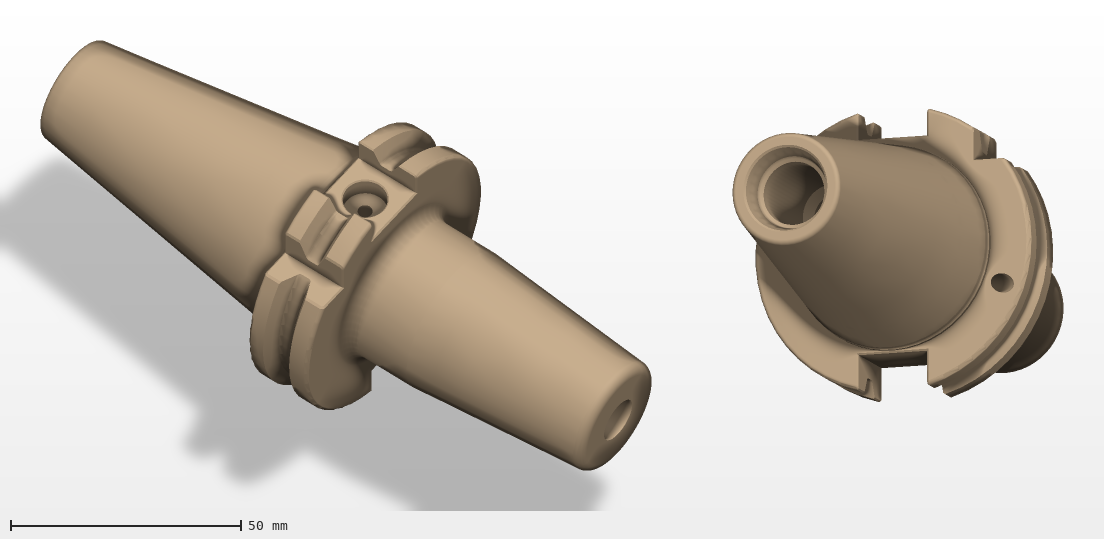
import cadquery as cq
import math


taper_length = 68.4
gauge_radius = 22.3
taper_overrun = 0.3
taper_slope = 7 / 48
shank_end_radius = gauge_radius - taper_slope * taper_length
shank_end_fillet = 1.0

neck_radius = gauge_radius + taper_slope * taper_overrun
neck_groove_start = 1.3
neck_groove_width = 0.9
neck_groove_depth = 0.3
collar_step = 0.22

flange_start = 3.1
flange_end = 19.1
flange_radius = 63.4 / 2
flange_edge_fillet = 0.9

groove_center = 10.8
groove_mouth_width = 7.1
groove_floor_radius = 28.0
groove_wall_angle = math.radians(30)
groove_corner_radius = 0.9

nose_length = 80.0
nose_radius = 17.0
nose_cylinder_end = 35.3
nose_tip_radius = 13.4
nose_tip_fillet = 2.2
nose_root_fillet = 3.0

entry_radius = 9.2
entry_chamfer = 0.5
entry_depth = 4.7
lead_in_radius = 8.0
lead_in_length = 1.0
thread_radius = 7.0
thread_depth = 32.0
bore_radius = 5.0

slot_width = 15.7
top_slot_floor = 24.6
bottom_slot_floor = 23.0
notch_offset = 18.5
slot_edge_chamfer = 0.37

pocket_center = (flange_start + flange_end) / 2
pocket_radius = 4.9
pocket_depth = 4.6
pocket_chamfer = 0.3
pilot_radius = 1.6

coolant_radius = 2.1
coolant_circle_radius = 26.9
coolant_angle = 20.0
coolant_tilt = math.radians(40)


def turned(profile):
    """Revolve a closed XY profile about the X axis."""
    return profile.close().revolve(360, (0, 0, 0), (1, 0, 0))


def make_shank():
    collar_radius = neck_radius + collar_step
    profile = (
        cq.Workplane("XY")
        .moveTo(-taper_length, 0)
        .lineTo(-taper_length, shank_end_radius)
        .lineTo(taper_overrun, neck_radius)
        .lineTo(neck_groove_start, neck_radius)
        .lineTo(neck_groove_start + neck_groove_width / 2, neck_radius - neck_groove_depth)
        .lineTo(neck_groove_start + neck_groove_width, collar_radius)
        .lineTo(flange_start, collar_radius)
        .lineTo(flange_start, 0)
    )
    return turned(profile).faces("<X").edges().fillet(shank_end_fillet)


def make_flange():
    disc = (
        cq.Workplane("YZ", origin=(flange_start, 0, 0))
        .circle(flange_radius)
        .extrude(flange_end - flange_start)
        .edges()
        .fillet(flange_edge_fillet)
    )
    slotted = disc.cut(make_flange_cuts())
    chamfered = slotted.faces("<X or >X").edges("%LINE").chamfer(slot_edge_chamfer)
    return chamfered.cut(make_gripper_groove())


def make_gripper_groove():
    """V-shaped ring whose walls blend into a narrow flat floor."""
    wall_run = math.tan(groove_wall_angle)
    mouth_half = groove_mouth_width / 2
    floor_half = mouth_half - (flange_radius - groove_floor_radius) * wall_run
    outside = 1.5
    outer_half = mouth_half + outside * wall_run
    outer_radius = flange_radius + outside

    turn = math.pi / 2 - groove_wall_angle
    tangent_length = groove_corner_radius * math.tan(turn / 2)
    flat_half = floor_half - tangent_length
    arc_end_half = floor_half + tangent_length * math.sin(groove_wall_angle)
    arc_end_radius = groove_floor_radius + tangent_length * math.cos(groove_wall_angle)
    arc_mid_half = flat_half + groove_corner_radius * math.sin(turn / 2)
    arc_mid_radius = groove_floor_radius + groove_corner_radius * (1 - math.cos(turn / 2))

    profile = (
        cq.Workplane("XY")
        .moveTo(groove_center - outer_half, outer_radius)
        .lineTo(groove_center - arc_end_half, arc_end_radius)
        .threePointArc(
            (groove_center - arc_mid_half, arc_mid_radius),
            (groove_center - flat_half, groove_floor_radius),
        )
        .lineTo(groove_center + flat_half, groove_floor_radius)
        .threePointArc(
            (groove_center + arc_mid_half, arc_mid_radius),
            (groove_center + arc_end_half, arc_end_radius),
        )
        .lineTo(groove_center + outer_half, outer_radius)
    )
    return turned(profile)


def make_nose():
    root_mid = nose_root_fillet * (1 - math.sqrt(0.5))
    profile = (
        cq.Workplane("XY")
        .moveTo(flange_end, 0)
        .lineTo(flange_end, nose_radius + nose_root_fillet)
        .threePointArc(
            (flange_end + root_mid, nose_radius + root_mid),
            (flange_end + nose_root_fillet, nose_radius),
        )
        .lineTo(nose_cylinder_end, nose_radius)
        .lineTo(nose_length, nose_tip_radius)
        .lineTo(nose_length, 0)
    )
    return turned(profile).faces(">X").edges().fillet(nose_tip_fillet)


def make_bore():
    mouth = -taper_length
    thread_start = mouth + entry_depth + lead_in_length
    thread_end = mouth + thread_depth
    cone_length = thread_radius - bore_radius
    profile = (
        cq.Workplane("XY")
        .moveTo(mouth, 0)
        .lineTo(mouth, entry_radius + entry_chamfer)
        .lineTo(mouth + entry_chamfer, entry_radius)
        .lineTo(mouth + entry_depth, lead_in_radius)
        .lineTo(thread_start, thread_radius)
        .lineTo(thread_end, thread_radius)
        .lineTo(thread_end + cone_length, bore_radius)
        .lineTo(nose_length, bore_radius)
        .lineTo(nose_length, 0)
    )
    return turned(profile)


def flange_cutter(y_min, y_max, z_min, z_max):
    """Box spanning the full flange thickness."""
    size = (flange_end - flange_start, y_max - y_min, z_max - z_min)
    return cq.Workplane("XY").box(*size, centered=False).translate((flange_start, y_min, z_min))


def make_flange_cuts():
    half = slot_width / 2
    top_slot = flange_cutter(-half, half, top_slot_floor, flange_radius)
    bottom_slot = flange_cutter(-half, half, -flange_radius, -bottom_slot_floor)
    notch = flange_cutter(-flange_radius, -notch_offset, notch_offset, flange_radius)
    return top_slot.union(bottom_slot).union(notch)


def make_pocket():
    floor = cq.Workplane("XY", origin=(pocket_center, 0, top_slot_floor))
    pocket = (
        floor.circle(pocket_radius + pocket_chamfer)
        .workplane(offset=-pocket_chamfer)
        .circle(pocket_radius)
        .loft()
    )
    pocket = pocket.union(floor.circle(pocket_radius).extrude(-pocket_depth))
    return pocket.union(floor.circle(pilot_radius).extrude(-top_slot_floor))


def make_coolant_hole(angle):
    """Slanted hole that opens on the flange face at the given angle and ends on the axis."""
    direction = cq.Vector(math.cos(coolant_tilt), -math.sin(coolant_tilt), 0)
    opening = cq.Vector(flange_start, coolant_circle_radius, 0)
    lead_in = 2 * coolant_radius
    length = coolant_circle_radius / math.sin(coolant_tilt) + lead_in
    hole = cq.Solid.makeCylinder(coolant_radius, length, opening - direction * lead_in, direction)
    return cq.Workplane(hole).rotate((0, 0, 0), (1, 0, 0), angle)


result = make_shank().union(make_flange()).union(make_nose())
result = result.cut(make_bore()).cut(make_pocket())
for hole_angle in (coolant_angle, coolant_angle + 180):
    result = result.cut(make_coolant_hole(hole_angle))